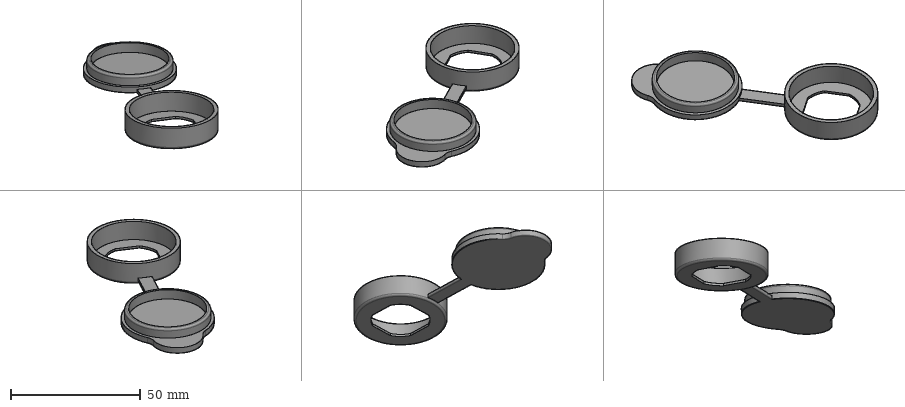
import cadquery as cq
import math

rim_diameter = 36.0

flange_bottom = 1.2
flange_thickness = 2.5
plug_radius = 16.7
plug_bore_radius = 15.1
plug_height = 4.1
plug_edge_radius = 0.9
cap_floor_thickness = 2.5
underside_edge_radius = 0.2

tab_diameter = 20.0
tab_offset = 15.0
tab_blend_radius = 5.0

overall_length = 96.6
ring_height = 9.0
ring_bore_radius = 16.3
ring_floor_thickness = 1.0
ring_edge_radius = 0.9
opening_radius = 11.4
opening_flats = 20.7

strap_width = 5.6
strap_thickness = 1.45

rim_radius = rim_diameter / 2
tab_radius = tab_diameter / 2
ring_center_x = overall_length - rim_radius - tab_radius - tab_offset
flange_top = flange_bottom + flange_thickness


def disc(radius, height, bottom, center_x=0.0):
    """Upright cylinder standing on the given level."""
    return cq.Workplane("XY", origin=(center_x, 0, bottom)).circle(radius).extrude(height)


def flange_outline():
    """Rim circle joined to the tab circle by a tangent hollow arc on each side."""
    rim_to_blend = rim_radius + tab_blend_radius
    tab_to_blend = tab_radius + tab_blend_radius
    blend_x = -(rim_to_blend**2 + tab_offset**2 - tab_to_blend**2) / (2 * tab_offset)
    blend_y = math.sqrt(rim_to_blend**2 - blend_x**2)

    rim_share = rim_radius / rim_to_blend
    rim_x = blend_x * rim_share
    rim_y = blend_y * rim_share
    tab_share = tab_radius / tab_to_blend
    tab_x = -tab_offset + (blend_x + tab_offset) * tab_share
    tab_y = blend_y * tab_share

    chord_x = (rim_x + tab_x) / 2 - blend_x
    chord_y = (rim_y + tab_y) / 2 - blend_y
    reach = tab_blend_radius / math.hypot(chord_x, chord_y)
    mid_x = blend_x + chord_x * reach
    mid_y = blend_y + chord_y * reach

    return (
        cq.Workplane("XY", origin=(0, 0, flange_bottom))
        .moveTo(rim_x, -rim_y)
        .threePointArc((rim_radius, 0), (rim_x, rim_y))
        .threePointArc((mid_x, mid_y), (tab_x, tab_y))
        .threePointArc((-tab_offset - tab_radius, 0), (tab_x, -tab_y))
        .threePointArc((mid_x, -mid_y), (rim_x, -rim_y))
        .close()
    )


def make_cap():
    """Flange with pull tab and a cup-shaped plug rounded on its outer rim."""
    flange = flange_outline().extrude(flange_thickness)
    plug = disc(plug_radius, plug_height, flange_top).faces(">Z").edges().fillet(plug_edge_radius)
    cap_floor = flange_bottom + cap_floor_thickness
    bore = disc(plug_bore_radius, flange_top + plug_height - cap_floor, cap_floor)
    return flange.union(plug).cut(bore)


def make_ring():
    """Shallow cup with a flat-sided round opening in its floor."""
    body = disc(rim_radius, ring_height, 0, ring_center_x).faces("<Z").edges().fillet(ring_edge_radius)
    bore = disc(ring_bore_radius, ring_height - ring_floor_thickness, ring_floor_thickness, ring_center_x)
    flats = (
        cq.Workplane("XY", origin=(ring_center_x, 0, 0))
        .rect(opening_flats, opening_flats)
        .extrude(ring_floor_thickness)
    )
    opening = disc(opening_radius, ring_floor_thickness, 0, ring_center_x).intersect(flats)
    return body.cut(bore).cut(opening)


def make_strap():
    """Flat strip running from inside the flange rim to inside the ring wall."""
    wall = rim_radius - ring_bore_radius
    start_x = rim_radius - wall / 2
    end_x = ring_center_x - rim_radius + wall / 2
    return (
        cq.Workplane("XY", origin=((start_x + end_x) / 2, 0, flange_bottom))
        .rect(end_x - start_x, strap_width)
        .extrude(strap_thickness)
    )


def make_dust_cap():
    """Cap and strap share a softened underside edge and are moulded in one piece with the ring."""
    cap_and_strap = make_cap().union(make_strap())
    cap_and_strap = cap_and_strap.faces("<Z").edges().fillet(underside_edge_radius)
    return cap_and_strap.union(make_ring())


dust_cap = make_dust_cap()

result = cq.Compound.makeCompound([dust_cap.val()])